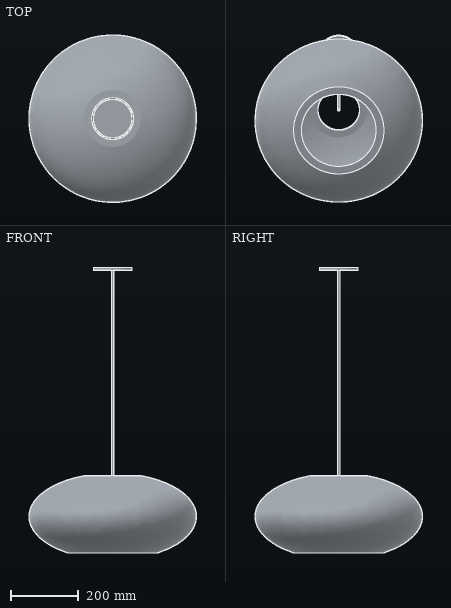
import cadquery as cq
import math

total_height = 846.0

shade_diameter = 497.0
shade_half_height = 129.0
shade_center_z = 108.0
shade_top_z = 229.0
wall_thickness = 7.0
top_opening_diameter = 123.0

plate_diameter = 115.0
plate_thickness = 9.0
cord_diameter = 8.0
plate_bottom_z = total_height - plate_thickness


def truncated_ellipsoid(radius, half_height, top_z):
    """Solid ellipsoid about the shade centre, cut flat at Z = 0 and at top_z."""
    start_angle = math.degrees(math.asin(-shade_center_z / half_height))
    end_angle = math.degrees(math.asin((top_z - shade_center_z) / half_height))
    bottom_radius = radius * math.cos(math.radians(start_angle))
    return (
        cq.Workplane("XZ")
        .moveTo(bottom_radius, 0)
        .ellipseArc(radius, half_height, start_angle, end_angle, startAtCurrent=True)
        .lineTo(0, top_z)
        .lineTo(0, 0)
        .close()
        .revolve(360, (0, 0), (0, 1))
    )


def make_shade():
    """Thin shell, fully open below, with a flat top rim around a round opening."""
    outside = truncated_ellipsoid(shade_diameter / 2, shade_half_height, shade_top_z)
    cavity = truncated_ellipsoid(
        shade_diameter / 2 - wall_thickness,
        shade_half_height - wall_thickness,
        shade_top_z - wall_thickness,
    )
    opening = cq.Workplane("XY").circle(top_opening_diameter / 2).extrude(shade_top_z)
    return outside.cut(cavity).cut(opening)


def make_plate():
    """Ceiling disc at the top of the lamp."""
    return (
        cq.Workplane("XY", origin=(0, 0, plate_bottom_z))
        .circle(plate_diameter / 2)
        .extrude(plate_thickness)
    )


def make_cord():
    """Straight cord from the plate down to the level of the shade's rim."""
    return (
        cq.Workplane("XY", origin=(0, 0, shade_top_z))
        .circle(cord_diameter / 2)
        .extrude(plate_bottom_z - shade_top_z)
    )


shade = make_shade()
plate = make_plate()
cord = make_cord()

result = cq.Compound.makeCompound([shade.val(), plate.val(), cord.val()])